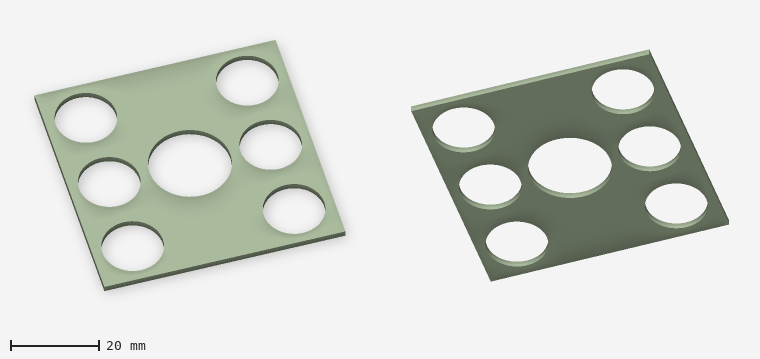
import cadquery as cq

plate_side = 56.9
plate_thickness = 1.57

center_hole_diameter = 19.05
outer_hole_diameter = 14.22
hole_pitch = 19.05


def make_plate():
    """Square plate centered on the origin in X and Y, resting on Z = 0."""
    return cq.Workplane("XY").box(
        plate_side, plate_side, plate_thickness, centered=(True, True, False)
    )


def cut_center_hole(body):
    """Large hole through the middle of the plate."""
    return body.faces(">Z").workplane(origin=(0, 0, 0)).hole(center_hole_diameter)


def cut_outer_holes(body):
    """Two rows of three holes, along the +Y and -Y edges."""
    centers = [
        (column * hole_pitch, row * hole_pitch)
        for row in (-1, 1)
        for column in (-1, 0, 1)
    ]
    top = body.faces(">Z").workplane(origin=(0, 0, 0))
    return top.pushPoints(centers).hole(outer_hole_diameter)


result = cut_outer_holes(cut_center_hole(make_plate()))